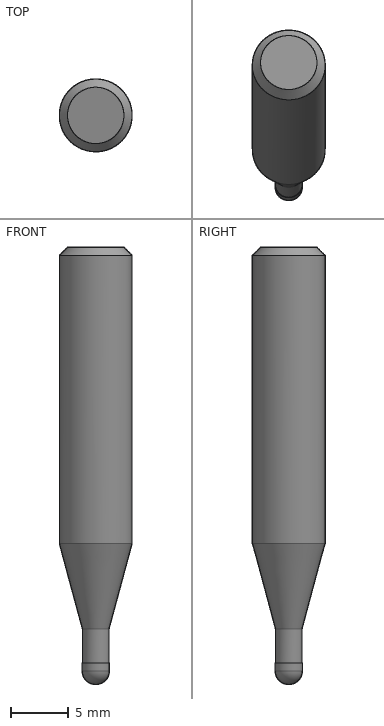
import cadquery as cq
import math

total_length = 38.1
shank_diameter = 6.35
taper_top = 12.3
top_chamfer = 0.72
ball_diameter = 2.4
cutting_length = 1.9
neck_diameter = 2.32
neck_top = 4.85

shank_radius = shank_diameter / 2
ball_radius = ball_diameter / 2
neck_radius = neck_diameter / 2


def make_cutting_head():
    """Ball-nosed cylinder that forms the cutting end."""
    arc_offset = ball_radius * math.sqrt(0.5)
    profile = (
        cq.Workplane("XZ")
        .moveTo(0, 0)
        .threePointArc((arc_offset, ball_radius - arc_offset), (ball_radius, ball_radius))
        .lineTo(ball_radius, cutting_length)
        .lineTo(0, cutting_length)
        .close()
    )
    return profile.revolve(360, (0, 0, 0), (0, 1, 0))


def make_holder():
    """Relieved neck, cone and chamfered shank, standing on the cutting head."""
    profile = (
        cq.Workplane("XZ")
        .moveTo(0, cutting_length)
        .lineTo(neck_radius, cutting_length)
        .lineTo(neck_radius, neck_top)
        .lineTo(shank_radius, taper_top)
        .lineTo(shank_radius, total_length - top_chamfer)
        .lineTo(shank_radius - top_chamfer, total_length)
        .lineTo(0, total_length)
        .close()
    )
    return profile.revolve(360, (0, 0, 0), (0, 1, 0))


cutting_head = make_cutting_head()
holder = make_holder()

result = cq.Compound.makeCompound([cutting_head.val(), holder.val()])